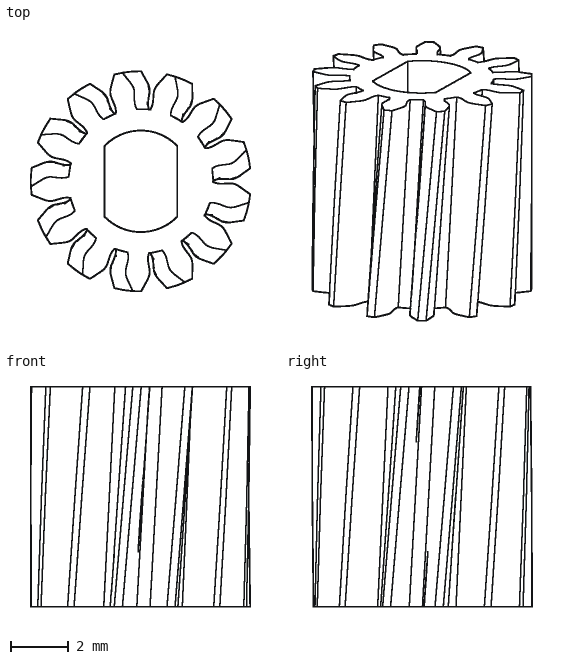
import cadquery as cq
import math

tooth_count = 13
face_width = 7.6
tip_radius = 3.8
root_radius = 2.49
twist_angle = 9.8

root_half_thickness = 0.37
neck_radius = 2.925
neck_half_thickness = 0.38
shoulder_radius = 3.17
shoulder_half_thickness = 0.42
upper_flank_radius = 3.495
upper_flank_half_thickness = 0.305
tip_half_thickness = 0.145

bore_diameter = 3.495
bore_across_flats = 2.5

tooth_pitch_angle = 360 / tooth_count
bottom_phase = 180 - twist_angle / 2

flank = [
    (root_radius, root_half_thickness),
    (neck_radius, neck_half_thickness),
    (shoulder_radius, shoulder_half_thickness),
    (upper_flank_radius, upper_flank_half_thickness),
    (tip_radius, tip_half_thickness),
]


def polar_point(radius, angle):
    """Point at a radius and an angle in degrees."""
    return (radius * math.cos(math.radians(angle)), radius * math.sin(math.radians(angle)))


def flank_points(tooth_angle, side):
    """Flank of one tooth from root to tip; side is -1 for clockwise, +1 for counter-clockwise."""
    points = []
    for radius, half_thickness in flank:
        half_angle = math.degrees(math.asin(half_thickness / radius))
        points.append(polar_point(radius, tooth_angle + side * half_angle))
    return points


def gear_body():
    """Closed tooth outline, extruded with a twist."""
    outline = cq.Workplane("XY").moveTo(*flank_points(bottom_phase, -1)[0])
    for index in range(tooth_count):
        tooth_angle = bottom_phase + index * tooth_pitch_angle
        next_angle = tooth_angle + tooth_pitch_angle
        rising = flank_points(tooth_angle, -1)
        falling = flank_points(tooth_angle, 1)[::-1]
        next_root = flank_points(next_angle, -1)[0]

        outline = outline.spline(rising[1:], includeCurrent=True)
        outline = outline.threePointArc(polar_point(tip_radius, tooth_angle), falling[0])
        outline = outline.spline(falling[1:], includeCurrent=True)
        gap_middle = polar_point(root_radius, tooth_angle + tooth_pitch_angle / 2)
        outline = outline.threePointArc(gap_middle, next_root)
    return outline.close().twistExtrude(face_width, twist_angle)


def double_d_bore():
    """Round through bore with two flats facing +X and -X."""
    round_bore = cq.Workplane("XY").circle(bore_diameter / 2).extrude(face_width)
    flats = cq.Workplane("XY").rect(bore_across_flats, bore_diameter).extrude(face_width)
    return round_bore.intersect(flats)


result = gear_body().cut(double_d_bore())